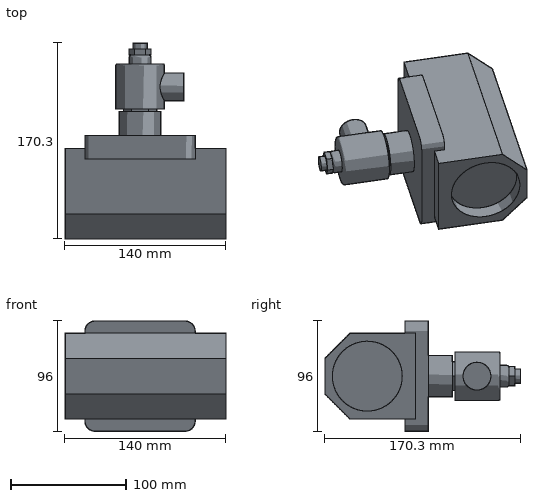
import cadquery as cq
import math

block_length = 140.0
block_depth = 78.8
block_height = 75.0
block_chamfer = 22.0

port_diameter = 60.8
port_depth = 12.3
port_y = 37.0

flange_size = 96.0
flange_corner_radius = 9.0
flange_front_y = 69.7
flange_back_y = 90.1
boss_diameter = 36.3
boss_top_y = 111.0

solenoid_x = -5.0
neck_across_flats = 25.2
coil_diameter = 42.4
coil_bottom_y = 113.0
coil_top_y = 152.5
coil_edge_radius = 1.5
collar_diameter = 19.0
collar_edge_radius = 2.4
nut_across_flats = 16.9
nut_bottom_y = 160.3
nut_top_y = 165.4
stud_diameter = 12.6
stud_top_y = 170.3

outlet_diameter = 24.2
outlet_reach = 38.1
outlet_y = 132.3


def plane_at(y):
    """Plane on the solenoid axis at height y, facing +Y."""
    return cq.Workplane(cq.Plane(origin=(solenoid_x, y, 0), xDir=(1, 0, 0), normal=(0, 1, 0)))


def cylinder(diameter, start_y, end_y):
    return plane_at(start_y).circle(diameter / 2).extrude(end_y - start_y)


def hexagon(across_flats, start_y, end_y):
    """Hexagonal prism with two corners pointing along X."""
    across_corners = across_flats / math.cos(math.pi / 6)
    return plane_at(start_y).polygon(6, across_corners).extrude(end_y - start_y)


def make_valve_body():
    block = (
        cq.Workplane("XY")
        .box(block_length, block_depth, block_height)
        .translate((0, block_depth / 2, 0))
        .faces("<Y").edges("|X").chamfer(block_chamfer)
    )
    flange = (
        plane_at(flange_front_y)
        .rect(flange_size, flange_size)
        .extrude(flange_back_y - flange_front_y)
        .edges("|Y").fillet(flange_corner_radius)
    )
    boss = cylinder(boss_diameter, flange_back_y, boss_top_y)
    body = block.union(flange).union(boss)

    for side in (-1, 1):
        port = (
            cq.Workplane("YZ", origin=(side * block_length / 2, 0, 0))
            .center(port_y, 0)
            .circle(port_diameter / 2)
            .extrude(-side * port_depth)
        )
        body = body.cut(port)
    return body


def make_solenoid():
    neck = hexagon(neck_across_flats, boss_top_y, coil_bottom_y)
    coil = cylinder(coil_diameter, coil_bottom_y, coil_top_y).faces(">Y").edges().fillet(coil_edge_radius)
    outlet = (
        cq.Workplane("YZ", origin=(solenoid_x, 0, 0))
        .center(outlet_y, 0)
        .circle(outlet_diameter / 2)
        .extrude(outlet_reach)
    )
    collar = cylinder(collar_diameter, coil_top_y, nut_bottom_y).faces(">Y").edges().fillet(collar_edge_radius)
    nut = hexagon(nut_across_flats, nut_bottom_y, nut_top_y)
    stud = cylinder(stud_diameter, nut_top_y, stud_top_y)
    return neck.union(coil).union(outlet).union(collar).union(nut).union(stud)


valve_body = make_valve_body()
solenoid = make_solenoid()

result = cq.Compound.makeCompound([valve_body.val(), solenoid.val()])